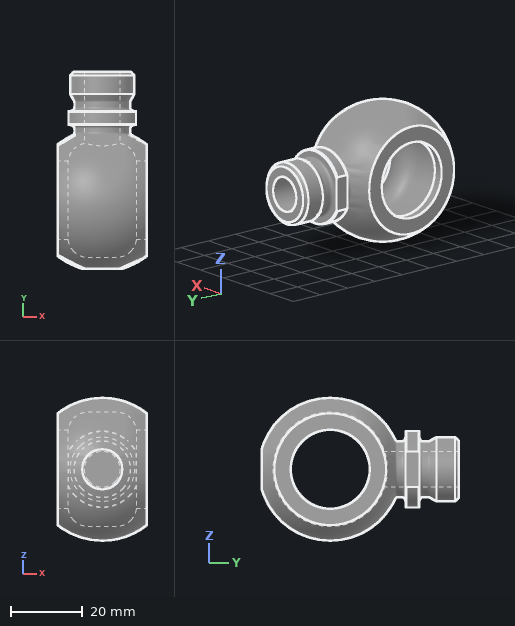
import cadquery as cq
import math

ball_radius = 40.0 / 2
eye_width = 25.0
front_flat = 19.2
bore_diameter = 22.0

chamber_diameter = 32.0
chamber_width = 7.85
chamber_shoulder_length = 5.65

overall_length = 55.2
stem_end = overall_length - front_flat
thread_radius = 18.0 / 2
neck_radius = 15.7 / 2
passage_diameter = 10.0
end_chamfer = 1.05
thread_length = 6.35
runout_angle = 30.0
runout_length = (thread_radius - neck_radius) / math.tan(math.radians(runout_angle))

flange_radius = 10.7
flange_start = 11.0
flange_thickness = 4.05
flange_across_flats = 19.0
flange_chamfer_length = 0.3
flange_chamfer_depth = 0.15
neck_fillet = 1.0
runout_fillet = 1.0
root_fillet = 0.85


def make_ball():
    ball = cq.Workplane("XY").sphere(ball_radius)
    envelope = cq.Workplane("XY").box(eye_width, front_flat + ball_radius, 2 * ball_radius)
    return ball.intersect(envelope.translate((0, (ball_radius - front_flat) / 2, 0)))


def make_stem():
    """Thread, run-out cone and neck turned about the Y axis."""
    thread_end = stem_end - thread_length
    runout_end = thread_end - runout_length
    angle = math.radians(runout_angle)
    tangent_length = runout_fillet * math.tan(angle / 2)
    arc_start = (neck_radius, runout_end - tangent_length)
    arc_middle = (
        neck_radius + runout_fillet * (1 - math.cos(angle / 2)),
        runout_end - tangent_length + runout_fillet * math.sin(angle / 2),
    )
    arc_end = (
        neck_radius + tangent_length * math.sin(angle),
        runout_end + tangent_length * math.cos(angle),
    )
    return (
        cq.Workplane("XY")
        .lineTo(neck_radius, 0)
        .lineTo(*arc_start)
        .threePointArc(arc_middle, arc_end)
        .lineTo(thread_radius, thread_end)
        .lineTo(thread_radius, stem_end - end_chamfer)
        .lineTo(thread_radius - end_chamfer, stem_end)
        .lineTo(0, stem_end)
        .close()
        .revolve(360, (0, 0, 0), (0, 1, 0))
    )


def make_flange():
    """Flange with chamfered rims, fillets to the neck and two flats."""
    top = stem_end - flange_start
    bottom = top - flange_thickness
    fillet_radius = neck_radius + neck_fillet
    rim_radius = flange_radius - flange_chamfer_depth
    arc_inset = neck_fillet * (1 - math.sqrt(0.5))
    flange = (
        cq.Workplane("XY")
        .moveTo(0, bottom - neck_fillet)
        .lineTo(neck_radius, bottom - neck_fillet)
        .threePointArc((neck_radius + arc_inset, bottom - arc_inset), (fillet_radius, bottom))
        .lineTo(rim_radius, bottom)
        .lineTo(flange_radius, bottom + flange_chamfer_length)
        .lineTo(flange_radius, top - flange_chamfer_length)
        .lineTo(rim_radius, top)
        .lineTo(fillet_radius, top)
        .threePointArc((neck_radius + arc_inset, top + arc_inset), (neck_radius, top + neck_fillet))
        .lineTo(0, top + neck_fillet)
        .close()
        .revolve(360, (0, 0, 0), (0, 1, 0))
    )
    flats = cq.Workplane("XY").box(flange_across_flats, 2 * stem_end, 2 * flange_radius)
    return flange.intersect(flats)


def make_root_fillet():
    """Ring blending the neck into the ball, tangent to both."""
    centre_radius = neck_radius + root_fillet
    centre_y = math.sqrt((ball_radius + root_fillet) ** 2 - centre_radius**2)
    to_ball = ball_radius / (ball_radius + root_fillet)
    ball_point = (centre_radius * to_ball, centre_y * to_ball)
    half_angle = math.pi + math.atan2(centre_y, centre_radius) / 2
    middle = (
        centre_radius + root_fillet * math.cos(half_angle),
        centre_y + root_fillet * math.sin(half_angle),
    )
    return (
        cq.Workplane("XY")
        .lineTo(*ball_point)
        .threePointArc(middle, (neck_radius, centre_y))
        .lineTo(0, centre_y)
        .close()
        .revolve(360, (0, 0, 0), (0, 1, 0))
    )


def make_bore():
    """Through bore and its chamber, turned about the X axis."""
    bore_radius = bore_diameter / 2
    chamber_radius = chamber_diameter / 2
    half_chamber = chamber_width / 2
    shoulder_end = half_chamber + chamber_shoulder_length
    shoulder_rise = chamber_radius - bore_radius
    shoulder_radius = (chamber_shoulder_length**2 + shoulder_rise**2) / (2 * shoulder_rise)
    half_sweep = math.atan2(shoulder_rise, chamber_shoulder_length)
    middle_x = half_chamber + shoulder_radius * math.sin(half_sweep)
    middle_y = chamber_radius - shoulder_radius * (1 - math.cos(half_sweep))
    return (
        cq.Workplane("XY")
        .moveTo(-eye_width / 2, 0)
        .lineTo(-eye_width / 2, bore_radius)
        .lineTo(-shoulder_end, bore_radius)
        .threePointArc((-middle_x, middle_y), (-half_chamber, chamber_radius))
        .lineTo(half_chamber, chamber_radius)
        .threePointArc((middle_x, middle_y), (shoulder_end, bore_radius))
        .lineTo(eye_width / 2, bore_radius)
        .lineTo(eye_width / 2, 0)
        .close()
        .revolve(360, (0, 0, 0), (1, 0, 0))
    )


def make_passage():
    """Flow passage from the stem end into the chamber."""
    return cq.Workplane("XZ").circle(passage_diameter / 2).extrude(-stem_end)


body = make_ball().union(make_stem()).union(make_flange()).union(make_root_fillet())
result = body.cut(make_bore()).cut(make_passage())